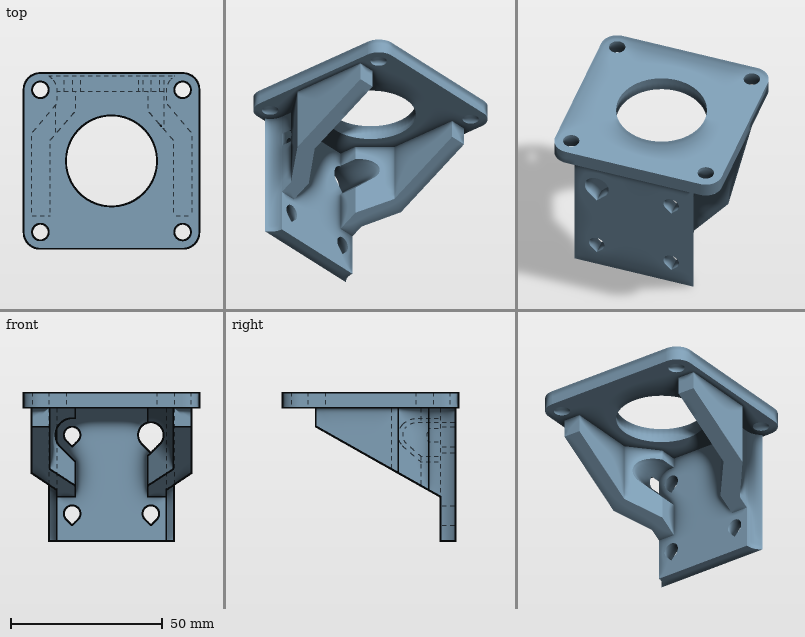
import cadquery as cq
import math

plate_side = 58.1
total_height = 49.0
plate_thickness = 5.0
plate_underside = total_height - plate_thickness
corner_radius = 5.6
plate_hole_spacing = plate_side - 2 * corner_radius
screw_diameter = 5.4
bore_diameter = 30.0

wall_thickness = 5.0
wall_setback = 1.0
wall_rear = plate_side / 2 - wall_setback
wall_front = wall_rear - wall_thickness
wall_front_half_width = 18.0
edge_groove_radius = 6.0

rib_width = 6.1
rib_step = 8.4
rib_outer_near = wall_front_half_width
rib_outer_far = rib_outer_near + rib_step
rib_inner_near = rib_outer_near - rib_width
rib_inner_far = rib_outer_far - rib_width
outer_crank_rear = 19.2
outer_crank_front = 9.2
inner_crank_rear = 16.6
inner_crank_front = 6.9
rib_front = -18.05
rib_bottom_front = total_height - 11.15
rib_bottom_rear = total_height - 34.35

wall_hole_spacing = 25.95
hole_x = wall_hole_spacing / 2
upper_hole_z = total_height - 13.95
lower_hole_z = upper_hole_z - wall_hole_spacing
large_hole_radius = 4.2
relief_radius = 5.5


def make_plate():
    return (
        cq.Workplane("XY", origin=(0, 0, plate_underside))
        .rect(plate_side, plate_side)
        .extrude(plate_thickness)
        .edges("|Z")
        .fillet(corner_radius)
        .faces(">Z")
        .workplane()
        .rect(plate_hole_spacing, plate_hole_spacing, forConstruction=True)
        .vertices()
        .hole(screw_diameter)
        .faces(">Z")
        .workplane()
        .hole(bore_diameter)
    )


def make_wall():
    """Wall with hollow side edges that flare toward its rear face."""
    groove_x = wall_front_half_width + edge_groove_radius

    def edge_x(depth):
        return groove_x - math.sqrt(edge_groove_radius**2 - depth**2)

    rear_x = edge_x(wall_thickness)
    middle_x = edge_x(wall_thickness / 2)
    middle_y = wall_front + wall_thickness / 2
    return (
        cq.Workplane("XY")
        .moveTo(-wall_front_half_width, wall_front)
        .lineTo(wall_front_half_width, wall_front)
        .threePointArc((middle_x, middle_y), (rear_x, wall_rear))
        .lineTo(-rear_x, wall_rear)
        .threePointArc((-middle_x, middle_y), (-wall_front_half_width, wall_front))
        .close()
        .extrude(plate_underside)
    )


def make_rib(side):
    """Cranked rib on the given side (-1 or 1), cut to a sloping underside."""
    plan = [
        (side * rib_outer_near, wall_front),
        (side * rib_outer_near, outer_crank_rear),
        (side * rib_outer_far, outer_crank_front),
        (side * rib_outer_far, rib_front),
        (side * rib_inner_far, rib_front),
        (side * rib_inner_far, inner_crank_front),
        (side * rib_inner_near, inner_crank_rear),
        (side * rib_inner_near, wall_front),
    ]
    profile = [
        (rib_front, plate_underside),
        (rib_front, rib_bottom_front),
        (wall_front, rib_bottom_rear),
        (wall_front, plate_underside),
    ]
    column = cq.Workplane("XY").polyline(plan).close().extrude(plate_underside)
    wedge = cq.Workplane("YZ").polyline(profile).close().extrude(plate_side / 2, both=True)
    return column.intersect(wedge)


def teardrop(x, z, radius, rear, inward=0.0):
    """Downward-pointing teardrop running forward from Y = rear, drawn out along X by inward."""
    flank = radius * math.sqrt(0.5)
    tip = radius * math.sqrt(2)

    def section(center_x):
        return (
            cq.Workplane("XZ", origin=(center_x, rear, z))
            .moveTo(-flank, -flank)
            .threePointArc((0, radius), (flank, -flank))
            .lineTo(0, -tip)
            .close()
            .extrude(rear - rib_front)
        )

    cutter = section(x)
    if inward:
        end_x = x + inward
        outer_flank_x = x + math.copysign(flank, -inward)
        stretch = (
            cq.Workplane("XZ", origin=(0, rear, z))
            .polyline([(x, radius), (end_x, radius), (end_x, -tip - abs(inward)),
                       (outer_flank_x, -flank), (x, 0)])
            .close()
            .extrude(rear - rib_front)
        )
        cutter = cutter.union(stretch)
    return cutter


result = make_plate().union(make_wall())
for side in (-1, 1):
    result = result.union(make_rib(side))

relief_reach = hole_x - rib_inner_near
for side, radius in ((-1, relief_radius), (1, large_hole_radius)):
    result = result.cut(teardrop(side * hole_x, upper_hole_z, radius, wall_front, -side * relief_reach))

screw_radius = screw_diameter / 2
for x, z, radius in (
    (-hole_x, lower_hole_z, screw_radius),
    (hole_x, lower_hole_z, screw_radius),
    (-hole_x, upper_hole_z, screw_radius),
    (hole_x, upper_hole_z, large_hole_radius),
):
    result = result.cut(teardrop(x, z, radius, wall_rear))